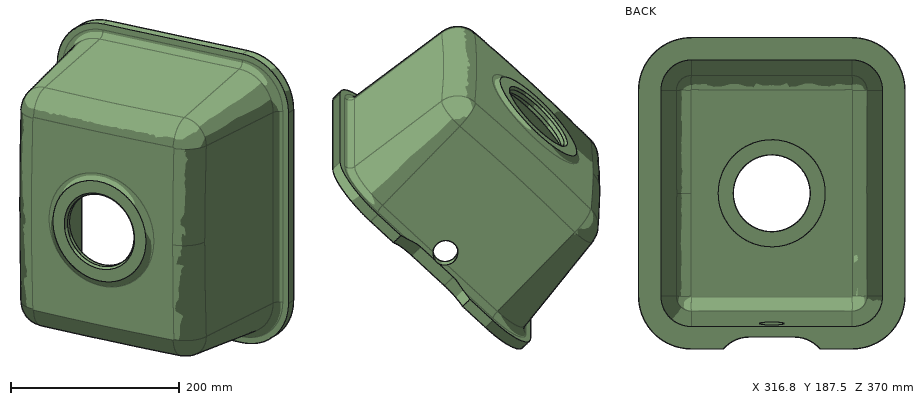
import cadquery as cq
import math


rim_width = 316.8
rim_length = 370.0
rim_corner_radius = 63.0
rim_thickness = 12.5

wall_inset = 14.0
wall_draft = 7.0
wall_thickness = 12.5
total_depth = 187.5
rim_fillet = 9.0
bottom_fillet = 30.5
inner_bottom_fillet = bottom_fillet - wall_thickness

floor_slope = math.tan(math.radians(3.0))
floor_apex_depth = 186.5
floor_reach = 259.0

drain_radius = 45.5
drain_mouth_radius = 48.0
drain_chamfer_depth = 3.0
drain_lip_thickness = 8.0
boss_top_radius = 63.5
boss_base_radius = 71.8

overflow_radius = 14.8
overflow_depth = 29.5
notch_bottom = -171.0
notch_flat_half = 27.0
notch_mouth_half = 57.5
notch_depth = rim_thickness + rim_fillet


def rounded_block(inset, depth, draft=0.0):
    """Rim outline moved inward by inset and extruded toward -Y."""
    outline = cq.Sketch().rect(rim_width - 2 * inset, rim_length - 2 * inset)
    outline = outline.vertices().fillet(rim_corner_radius - inset)
    return cq.Workplane("XZ").placeSketch(outline).extrude(depth, taper=draft)


def floor_depth(radius):
    return floor_apex_depth - radius * floor_slope


def bowl(inset, raised, fillet_radius):
    """Drafted bowl with a conical floor lifted by raised and a rounded bottom edge."""
    walls = rounded_block(inset, total_depth, wall_draft)
    cone = (
        cq.Workplane("XY")
        .moveTo(0, 0)
        .lineTo(floor_reach, 0)
        .lineTo(floor_reach, raised - floor_depth(floor_reach))
        .lineTo(0, raised - floor_depth(0))
        .close()
        .revolve(360, (0, 0, 0), (0, 1, 0))
    )
    return walls.intersect(cone).faces("<Y").edges().fillet(fillet_radius)


def rim_and_shell():
    outer = rounded_block(0, rim_thickness).union(bowl(wall_inset, 0, bottom_fillet))
    margin = wall_inset / 4
    reach_x = rim_width / 2 - margin
    reach_z = rim_length / 2 - margin
    inside_rim = cq.selectors.BoxSelector(
        (-reach_x, -rim_thickness - margin, -reach_z),
        (reach_x, -rim_thickness + margin, reach_z),
        boundingbox=True,
    )
    return outer.edges(inside_rim).fillet(rim_fillet)


def drain_boss():
    """Ring under the floor, flared into it by an arc tangent to the floor cone."""
    base_depth = floor_depth(boss_base_radius)
    flare_width = boss_base_radius - boss_top_radius
    flare_height = total_depth - base_depth
    chord_angle = math.atan2(flare_height, flare_width) - math.atan(floor_slope)
    flare_radius = math.hypot(flare_width, flare_height) / (2 * math.sin(chord_angle))
    return (
        cq.Workplane("XY")
        .moveTo(drain_radius, wall_thickness / 2 - base_depth)
        .lineTo(boss_base_radius, wall_thickness / 2 - base_depth)
        .lineTo(boss_base_radius, -base_depth)
        .radiusArc((boss_top_radius, -total_depth), -flare_radius)
        .lineTo(drain_radius, -total_depth)
        .close()
        .revolve(360, (0, 0, 0), (0, 1, 0))
    )


def drain_hole():
    """Hole chamfered at its mouth, with a strainer recess of the boss's radius inside the bowl."""
    lip_top = -total_depth + drain_lip_thickness
    chamfer_end = -total_depth + drain_chamfer_depth
    return (
        cq.Workplane("XY")
        .moveTo(0, -total_depth)
        .lineTo(drain_mouth_radius, -total_depth)
        .lineTo(drain_radius, chamfer_end)
        .lineTo(drain_radius, lip_top)
        .lineTo(boss_top_radius, lip_top)
        .lineTo(boss_top_radius, 0)
        .lineTo(0, 0)
        .close()
        .revolve(360, (0, 0, 0), (0, 1, 0))
    )


def overflow_hole():
    return (
        cq.Workplane("XY")
        .center(0, -overflow_depth)
        .circle(overflow_radius)
        .extrude(-rim_length / 2)
    )


def rim_notch():
    """Flat-bottomed notch whose ends sweep out to the rim edge as tangent arcs."""
    edge = -rim_length / 2
    half = (
        cq.Workplane("XZ")
        .moveTo(0, notch_bottom)
        .lineTo(notch_flat_half, notch_bottom)
        .tangentArcPoint((notch_mouth_half, edge), relative=False)
        .lineTo(0, edge)
        .close()
        .extrude(notch_depth)
    )
    return half.union(half.mirror("YZ"))


inner_inset = wall_inset + wall_thickness / math.cos(math.radians(wall_draft))
cavity = bowl(inner_inset, wall_thickness, inner_bottom_fillet)

result = (
    rim_and_shell()
    .union(drain_boss())
    .cut(cavity)
    .cut(drain_hole())
    .cut(overflow_hole())
    .cut(rim_notch())
)